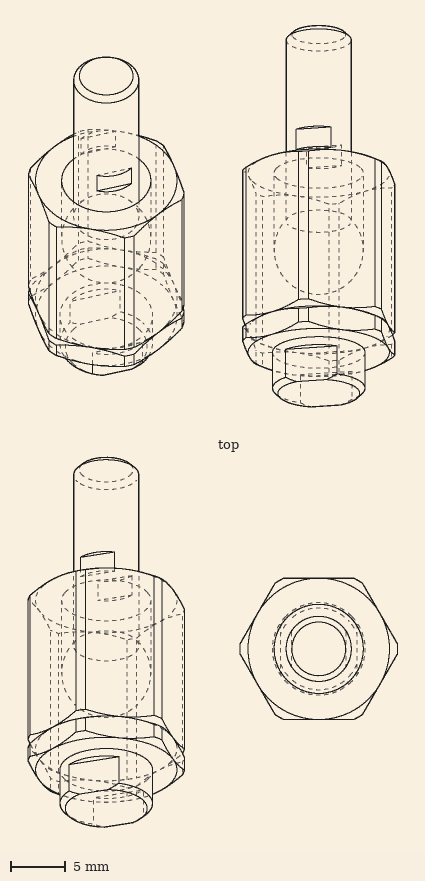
import cadquery as cq
import math

total_height = 35.0
boss_length = 4.0
nut_height = 2.2
housing_top = 21.5
nut_top = boss_length + nut_height

across_flats = 13.0
corner_diameter = 14.5
hex_chamfer_angle = 30.0

boss_diameter = 8.5
boss_chamfer = 0.5
boss_across_flats = 7.0
boss_flat_height = 3.22

stud_diameter = 6.0
stud_chamfer = 0.52
ball_diameter = 8.2
ball_center_height = 14.0
stud_across_flats = 5.0
stud_flat_top = 25.0
stud_flat_height = 2.0


def hex_section(bottom, top):
    """Hexagonal prism with round corners and conical chamfers at both ends."""
    height = top - bottom
    flat_radius = across_flats / 2
    corner_radius = corner_diameter / 2
    chamfer_height = (corner_radius - flat_radius) * math.tan(math.radians(hex_chamfer_angle))
    sharp_corner_diameter = across_flats / math.cos(math.pi / 6)
    prism = cq.Workplane("XY", origin=(0, 0, bottom)).polygon(6, sharp_corner_diameter).extrude(height)
    turned_envelope = (
        cq.Workplane("XZ")
        .moveTo(0, bottom)
        .lineTo(flat_radius, bottom)
        .lineTo(corner_radius, bottom + chamfer_height)
        .lineTo(corner_radius, top - chamfer_height)
        .lineTo(flat_radius, top)
        .lineTo(0, top)
        .close()
        .revolve(360, (0, 0, 0), (0, 1, 0))
    )
    return prism.intersect(turned_envelope)


def cut_side_flats(body, diameter, flat_width, bottom, height):
    """Cut two parallel flats, facing -X and +X, into a round body."""
    level = cq.Workplane("XY", origin=(0, 0, bottom))
    band = level.rect(2 * diameter, 2 * diameter).extrude(height)
    core = level.rect(flat_width, 2 * diameter).extrude(height)
    return body.cut(band.cut(core))


def make_ball():
    return cq.Workplane("XY", origin=(0, 0, ball_center_height)).sphere(ball_diameter / 2)


def make_boss():
    boss = cq.Workplane("XY").circle(boss_diameter / 2).extrude(boss_length)
    boss = boss.faces("<Z").chamfer(boss_chamfer)
    return cut_side_flats(boss, boss_diameter, boss_across_flats, 0, boss_flat_height)


def make_housing():
    """Hexagonal housing with its nut and boss, bored from the top down to a ball seat."""
    housing = make_boss()
    housing = housing.union(hex_section(boss_length, nut_top))
    housing = housing.union(hex_section(nut_top, housing_top))
    bore = (
        cq.Workplane("XY", origin=(0, 0, ball_center_height))
        .circle(ball_diameter / 2)
        .extrude(housing_top - ball_center_height)
    )
    return housing.cut(bore).cut(make_ball())


def make_stud():
    """Round stud with wrench flats, standing on a ball."""
    stud = (
        cq.Workplane("XY", origin=(0, 0, ball_center_height))
        .circle(stud_diameter / 2)
        .extrude(total_height - ball_center_height)
        .faces(">Z")
        .chamfer(stud_chamfer)
    )
    flat_bottom = stud_flat_top - stud_flat_height
    stud = cut_side_flats(stud, stud_diameter, stud_across_flats, flat_bottom, stud_flat_height)
    return stud.union(make_ball())


housing = make_housing()
stud = make_stud()
result = cq.Compound.makeCompound([housing.solids().val(), stud.solids().val()])